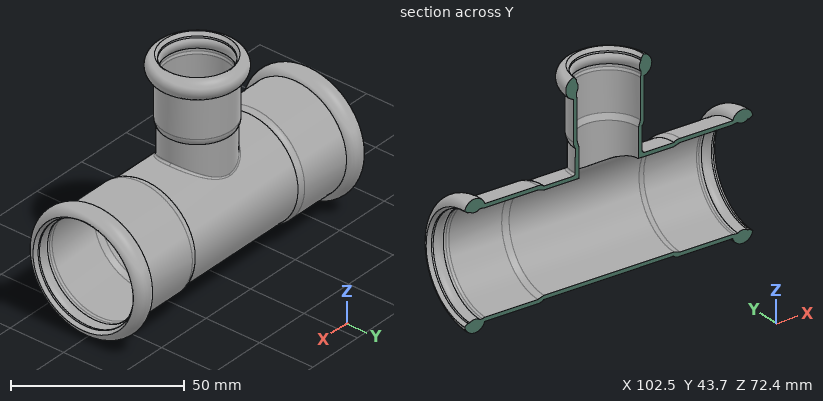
import cadquery as cq
import math

run_length = 102.5
branch_height = 50.5
junction_fillet = 0.7
selection_margin = 1.0

run_sizes = {
    "body": 37.0,
    "body_bore": 34.0,
    "socket": 38.4,
    "socket_bore": 35.4,
    "lip_bore": 35.8,
    "bead": 43.7,
}
run_socket_depth = 26.0

branch_sizes = {
    "body": 24.0,
    "body_bore": 21.0,
    "socket": 25.2,
    "socket_bore": 22.3,
    "lip_bore": 22.9,
    "bead": 30.8,
}
branch_socket_depth = 21.1

shoulder_length = 2.2
bulge_position = 0.6
bulge_fraction = 0.75
bead_length = 7.3
bead_height = 3.1
mouth_taper = 1.2
seal_start = 1.8
seal_end = bead_length - seal_start
seal_height = 0.6
lip_end = 6.4


def revolve_about_z(profile):
    return profile.close().revolve(360, (0, 0, 0), (0, 1, 0))


def outer_leg(sizes, socket_depth, length):
    """Solid leg rising from the origin to a beaded mouth at Z = length."""
    body = sizes["body"] / 2
    socket = sizes["socket"] / 2
    bead = sizes["bead"] / 2
    shoulder_top = length - socket_depth
    bulge_radius = body + (socket - body) * bulge_fraction
    bulge_height = shoulder_top - shoulder_length * bulge_position
    profile = (
        cq.Workplane("XZ")
        .lineTo(body, 0)
        .lineTo(body, shoulder_top - shoulder_length)
        .threePointArc((bulge_radius, bulge_height), (socket, shoulder_top))
        .lineTo(socket, length - bead_length)
        .threePointArc((bead, length - bead_length / 2), (bead - bead_height, length))
        .lineTo(0, length)
    )
    return revolve_about_z(profile)


def leg_bore(sizes, socket_depth, length):
    """Stepped bore of a leg with its seal ring and conical lead-in."""
    body_bore = sizes["body_bore"] / 2
    socket_bore = sizes["socket_bore"] / 2
    lip_bore = sizes["lip_bore"] / 2
    seal_crest = lip_bore - seal_height
    mouth = sizes["bead"] / 2 - bead_height
    shoulder_top = length - socket_depth
    profile = (
        cq.Workplane("XZ")
        .lineTo(body_bore, 0)
        .lineTo(body_bore, shoulder_top - shoulder_length)
        .lineTo(socket_bore, shoulder_top)
        .lineTo(socket_bore, length - bead_length)
        .lineTo(lip_bore, length - lip_end)
        .lineTo(lip_bore, length - seal_end)
        .threePointArc((seal_crest, length - bead_length / 2), (lip_bore, length - seal_start))
        .lineTo(lip_bore, length - mouth_taper)
        .lineTo(mouth, length)
        .lineTo(0, length)
    )
    return revolve_about_z(profile)


def both_ways_along_x(leg):
    right = leg.rotate((0, 0, 0), (0, 1, 0), 90)
    left = leg.rotate((0, 0, 0), (0, 1, 0), -90)
    return right.union(left)


run_leg = (run_sizes, run_socket_depth, run_length / 2)
branch_leg = (branch_sizes, branch_socket_depth, branch_height)

outside = both_ways_along_x(outer_leg(*run_leg)).union(outer_leg(*branch_leg)).clean()
run_radius = run_sizes["body"] / 2
branch_radius = branch_sizes["body"] / 2
junction_reach = branch_radius + selection_margin
junction_top = run_radius + selection_margin
junction_bottom = math.sqrt(run_radius**2 - branch_radius**2) - selection_margin
junction = cq.selectors.BoxSelector(
    (-junction_reach, -junction_reach, junction_bottom),
    (junction_reach, junction_reach, junction_top),
    boundingbox=True,
)
outside = outside.edges(junction).fillet(junction_fillet)

result = outside.cut(both_ways_along_x(leg_bore(*run_leg))).cut(leg_bore(*branch_leg))